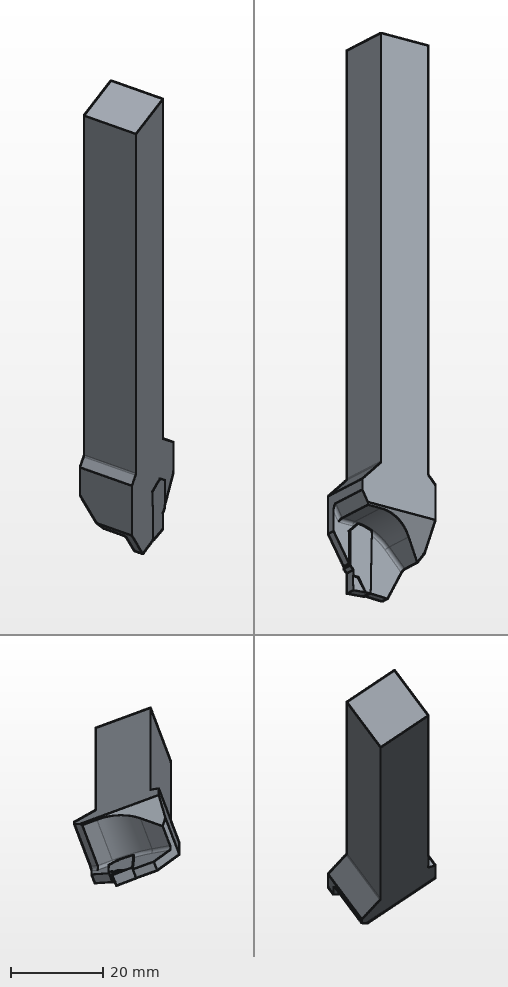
import cadquery as cq
import math


total_length = 127.0
bar_thickness = 12.77
shank_width = 12.7
half_shank = shank_width / 2

back_overhang = 5.0
front_overhang = 1.9
back_y = half_shank + back_overhang
front_y = -half_shank - front_overhang
shoulder_z = 26.6
shoulder_fillet = 0.6

back_taper_z = 12.8
back_taper_tan = math.tan(math.radians(32))
front_taper_z = 10.0
front_taper_tan = math.tan(math.radians(28))
heel_z = 0.35
heel_rise = 0.25

slope_z = 16.5
slope_tan = math.tan(math.radians(32))

blade_thickness = 2.1
blade_x = bar_thickness - blade_thickness
pocket_fillet = 0.8
pocket_z = 16.0
pocket_corner_y = 9.6
pocket_side_tan = math.tan(math.radians(30))
pocket_arc_start_y = 6.2
pocket_arc_radius = 13.0
pocket_turn = math.radians(45)
pocket_margin = 5.0

insert_thickness = 2.55
insert_x = bar_thickness - insert_thickness
insert_back_y = 7.2
insert_front_top_y = 1.4
insert_front_bottom_y = 1.75
insert_corner_cut = 2.2
insert_nose_z = 5.6
insert_end_rise = 0.35

rake_length = 3.4
rake_top_width = 1.3
rake_angle = 4.0


def prism(points, x_start, x_end):
    """Closed Y-Z outline extruded along X."""
    outline = cq.Workplane("YZ", origin=(x_start, 0, 0)).polyline(points).close()
    return outline.extrude(x_end - x_start)


def make_pocket(x_start, x_end):
    """Everything below the pocket wall: an angled side, a flat roof, an arc and a straight run-out."""
    arc_centre_z = pocket_z - pocket_arc_radius

    def arc_point(angle):
        return (
            pocket_arc_start_y - pocket_arc_radius * math.sin(angle),
            arc_centre_z + pocket_arc_radius * math.cos(angle),
        )

    arc_end_y, arc_end_z = arc_point(pocket_turn)
    outer_back_y = back_y + pocket_margin
    outer_front_y = front_y - pocket_margin
    side_z = pocket_z + (outer_back_y - pocket_corner_y) / pocket_side_tan
    run_out_z = arc_end_z - (arc_end_y - outer_front_y) * math.tan(pocket_turn)
    return (
        cq.Workplane("YZ", origin=(x_start, 0, 0))
        .moveTo(outer_back_y, -pocket_margin)
        .lineTo(outer_back_y, side_z)
        .lineTo(pocket_corner_y, pocket_z)
        .lineTo(pocket_arc_start_y, pocket_z)
        .threePointArc(arc_point(pocket_turn / 2), (arc_end_y, arc_end_z))
        .lineTo(outer_front_y, run_out_z)
        .lineTo(outer_front_y, -pocket_margin)
        .close()
        .extrude(x_end - x_start)
    )


def make_blank():
    """Full-thickness shank and head, with the inner shoulder corners rounded."""
    heel_back_z = heel_z + heel_rise
    heel_back_y = back_y - (back_taper_z - heel_back_z) * back_taper_tan
    heel_front_y = front_y + (front_taper_z - heel_z) * front_taper_tan
    blank = prism(
        [
            (half_shank, total_length),
            (half_shank, shoulder_z),
            (back_y, shoulder_z - back_overhang),
            (back_y, back_taper_z),
            (heel_back_y, heel_back_z),
            (heel_front_y, heel_z),
            (front_y, front_taper_z),
            (front_y, shoulder_z - front_overhang),
            (-half_shank, shoulder_z),
            (-half_shank, total_length),
        ],
        0,
        bar_thickness,
    )
    margin = shoulder_fillet / 2
    corners = cq.selectors.BoxSelector(
        (0, -half_shank - margin, shoulder_z - margin),
        (bar_thickness, half_shank + margin, shoulder_z + margin),
    )
    return blank.edges(corners).fillet(shoulder_fillet)


def make_slope_cut():
    """Wedge below the slope on the blade side of the head."""
    return (
        cq.Workplane("XZ", origin=(0, back_y, 0))
        .polyline([(0, slope_z), (slope_z * slope_tan, 0), (0, 0)])
        .close()
        .extrude(back_y - front_y)
    )


def make_insert():
    """Insert fitted against the pocket wall, with a raked tip reaching past the blade."""
    nose_cut = insert_back_y - half_shank
    insert = prism(
        [
            (half_shank, 0),
            (half_shank, insert_nose_z - nose_cut),
            (insert_back_y, insert_nose_z),
            (insert_back_y, pocket_z - insert_corner_cut),
            (insert_back_y - insert_corner_cut, pocket_z),
            (insert_front_top_y, pocket_z),
            (insert_front_bottom_y, insert_end_rise),
        ],
        insert_x,
        bar_thickness,
    )
    return insert.intersect(make_pocket(insert_x, bar_thickness)).cut(make_rake_cut())


def make_rake_cut():
    """Wedge that deepens upward from the cutting edge, bounded by the line of the blade taper."""
    depth = rake_length * math.tan(math.radians(rake_angle))
    wedge = (
        cq.Workplane("XZ", origin=(0, half_shank, 0))
        .polyline([(insert_x, 0), (insert_x + depth, rake_length), (insert_x, rake_length)])
        .close()
        .extrude(shank_width)
    )
    side = prism(
        [
            (half_shank, 0),
            (half_shank, rake_length),
            (half_shank - rake_top_width, rake_length),
            (half_shank - rake_top_width - rake_length * back_taper_tan, 0),
        ],
        insert_x,
        bar_thickness,
    )
    return wedge.intersect(side)


def make_holder(insert_seat):
    """Blank with the slope, the filleted blade pocket and the insert seat removed."""
    pocket = make_pocket(-pocket_margin, blade_x)
    pocket = pocket.faces(">X").edges().fillet(pocket_fillet)
    return make_blank().cut(make_slope_cut()).cut(pocket).cut(insert_seat)


insert = make_insert()
holder = make_holder(insert)

result = cq.Compound.makeCompound([holder.val(), insert.val()])